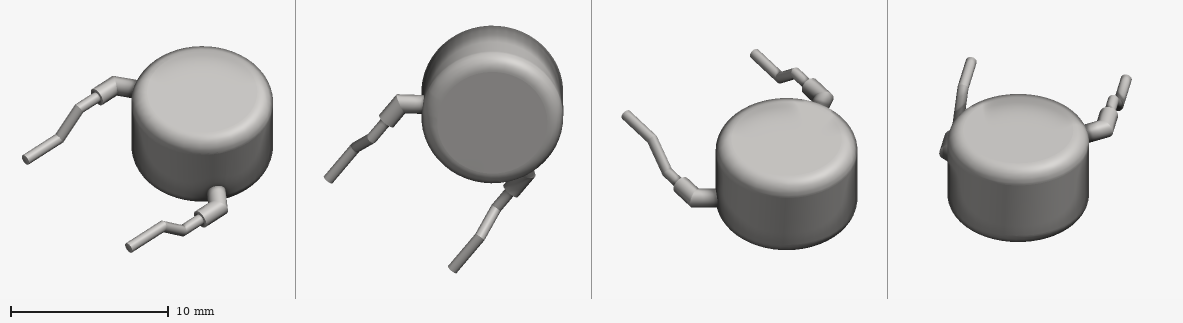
import cadquery as cq
import math

housing_diameter = 9.0
housing_height = 6.0
rim_radius = 1.0

lead_spacing = 10.0
lead_height = 1.6
leg_diameter = 1.2
wire_diameter = 0.7
leg_angle = 36.0
leg_inset = 3.0

leg_bend = 3.0
leg_end = housing_diameter / 2
crimp_start = 6.0
crimp_end = 7.66
wire_end = 10.5

lead_x = -lead_spacing / 2
slant_rise = (lead_spacing / 2 - leg_inset) * math.tan(math.radians(leg_angle))
inner_point = (-leg_inset, slant_rise - leg_bend, lead_height)
leg_bend_point = (lead_x, -leg_bend, lead_height)
leg_end_point = (lead_x, -leg_end, lead_height)
crimp_points = [(lead_x, -crimp_start, lead_height), (lead_x, -crimp_end, 0)]
wire_end_point = (lead_x, -wire_end, 0)

lead_turns = (0, 180)


def round_bar(points, diameter):
    """Round bar with mitred bends along a chain of points."""
    path = cq.Workplane("XY").polyline(points)
    direction = cq.Vector(*points[1]) - cq.Vector(*points[0])
    start = cq.Plane(origin=points[0], normal=direction)
    return cq.Workplane(start).circle(diameter / 2).sweep(path, transition="right")


def turned(body, angle):
    """Body turned about the Y axis."""
    return body.rotate((0, 0, 0), (0, 1, 0), angle)


def make_wire():
    """Lead wire with an offset crimp, running through its leg into the housing."""
    return round_bar([inner_point, leg_bend_point, *crimp_points, wire_end_point], wire_diameter)


def make_leg():
    """Coating leg that covers the first part of a wire."""
    return round_bar([inner_point, leg_bend_point, leg_end_point], leg_diameter)


def make_housing(wires):
    """Rounded disc with two coating legs, bored to fit the wires."""
    housing = cq.Workplane("XY").cylinder(housing_height, housing_diameter / 2)
    housing = housing.faces("|Z").edges().fillet(rim_radius)
    for angle in lead_turns:
        housing = housing.union(turned(make_leg(), angle))
    for wire in wires:
        housing = housing.cut(wire)
    return housing.solids()


wires = [turned(make_wire(), angle) for angle in lead_turns]
housing = make_housing(wires)

result = cq.Compound.makeCompound([housing.val(), *[wire.val() for wire in wires]])